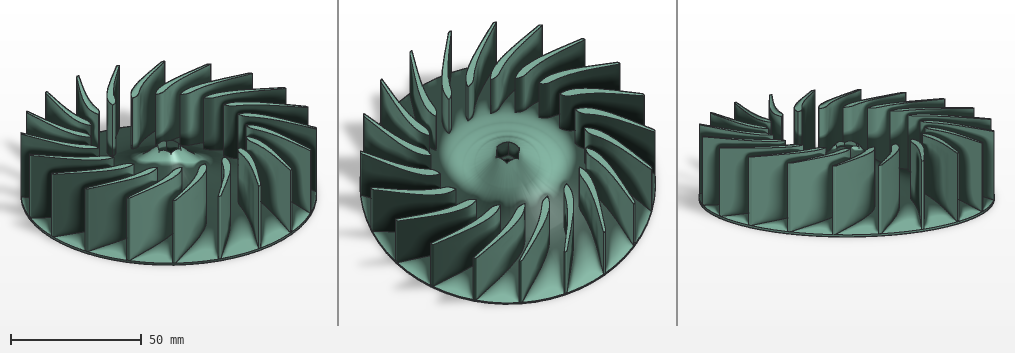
import cadquery as cq
import math

outer_radius = 56.5
total_height = 28.0
rim_thickness = 0.9

flare_points = [(45.2, 2.6), (30.1, 5.9), (13.6, 13.2)]
hub_top_radius = 4.2
hub_top_height = 21.8

bore_diameter = 5.5
nut_across_flats = 8.5
nut_corner_diameter = nut_across_flats / math.cos(math.radians(30))
nut_pocket_depth = 9.0

blade_count = 20
nose_tip = (22.6, 19.7)
nose_middle = (24.4, 18.5)
inside_curve = [(26.7, 18.2), (36.4, 18.2), (43.7, 17.0), (54.6, 14.5)]
tail_middle = (54.4, 15.3)
outside_curve = [(53.5, 15.8), (42.7, 18.9), (32.0, 21.1), (27.3, 21.2), nose_tip]


def make_hub():
    """Solid disc flaring up to a hub at the centre."""
    hub_top = (-hub_top_radius, hub_top_height)
    flare = [(-radius, height) for radius, height in flare_points]
    profile = (
        cq.Workplane("XZ")
        .lineTo(-outer_radius, 0)
        .lineTo(-outer_radius, rim_thickness)
        .spline(flare + [hub_top], includeCurrent=True)
        .lineTo(0, hub_top_height)
        .close()
    )
    return profile.revolve(360, (0, 0, 0), (0, 1, 0))


def make_blade():
    """Curved blade running from its nose out to the rim."""
    return (
        cq.Workplane("XY")
        .moveTo(*nose_tip)
        .threePointArc(nose_middle, inside_curve[0])
        .spline(inside_curve[1:], includeCurrent=True)
        .threePointArc(tail_middle, outside_curve[0])
        .spline(outside_curve[1:], includeCurrent=True)
        .close()
        .extrude(total_height)
    )


def make_shaft_cut():
    """Through bore and nut pocket."""
    bore = cq.Workplane("XY").circle(bore_diameter / 2).extrude(hub_top_height)
    pocket = (
        cq.Workplane("XY", origin=(0, 0, hub_top_height - nut_pocket_depth))
        .transformed(rotate=(0, 0, 90))
        .polygon(6, nut_corner_diameter)
        .extrude(nut_pocket_depth)
    )
    return bore.union(pocket)


result = make_hub()
blade = make_blade()
for index in range(blade_count):
    angle = index * 360 / blade_count
    result = result.union(blade.rotate((0, 0, 0), (0, 0, 1), angle))
result = result.cut(make_shaft_cut())